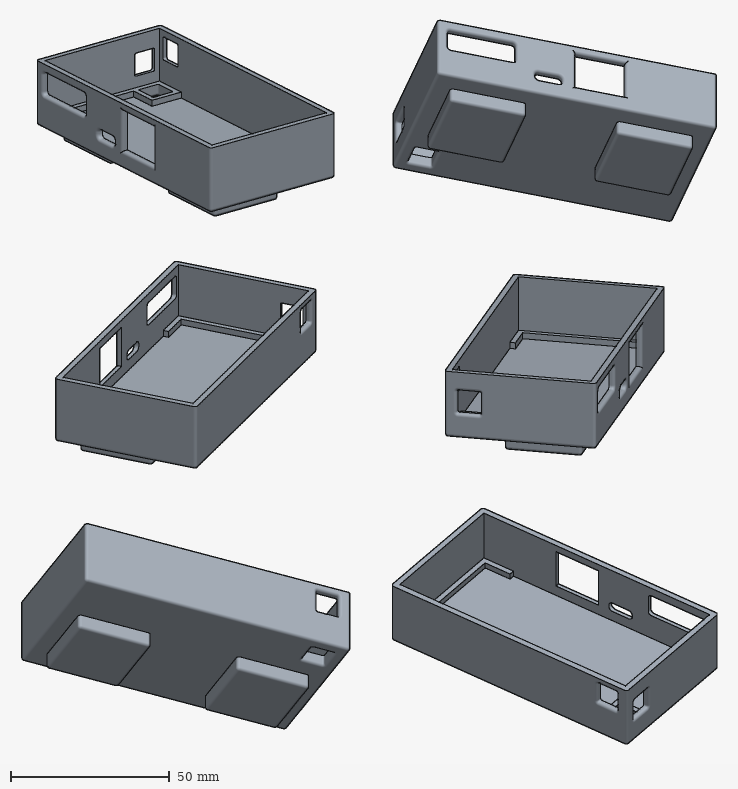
import cadquery as cq

LENGTH = 92.0
WIDTH = 49.0
BODY_HEIGHT = 22.0
WALL = 2.0
FLOOR = 2.0
EDGE_ROUND = 1.0

LEFT = -LENGTH / 2
FRONT = -WIDTH / 2
BACK = WIDTH / 2

LEDGE_WIDTH = 1.8
LEDGE_HEIGHT = 2.0
LEDGE_REACH = 11.5

PORT_SIZE = 7.8
PORT_ROUND = 0.55
PORT_INSET = 7.8
SIDE_PORT_DROP = 10.1
BACK_PORT_DROP = 6.2

DISPLAY_SIZE = (22.45, 7.9)
DISPLAY_CENTRE = (14.6, 7.0)
DISPLAY_ROUND = 1.1
CONNECTOR_SIZE = (9.0, 3.3)
CONNECTOR_CENTRE = (36.7, 14.6)
CONNECTOR_ROUND = 1.4
SOCKET_SIZE = (16.5, 13.7)
SOCKET_CENTRE = (53.6, 9.4)

FOOT_SIZE = 25.0
FOOT_HEIGHT = 5.0
FOOT_INSET = 6.0


def shell():
    outer = cq.Workplane("XY").box(LENGTH, WIDTH, BODY_HEIGHT, centered=(True, True, False))
    outer = outer.edges("|Z or <Z").fillet(EDGE_ROUND)
    cavity = (
        cq.Workplane("XY", origin=(0, 0, FLOOR))
        .rect(LENGTH - 2 * WALL, WIDTH - 2 * WALL)
        .extrude(BODY_HEIGHT)
    )
    return outer.cut(cavity)


def ledges():
    inner_length = LENGTH - 2 * WALL
    inner_width = WIDTH - 2 * WALL
    plane = cq.Workplane("XY", origin=(0, 0, FLOOR))
    frame = (
        plane.rect(inner_length, inner_width)
        .rect(inner_length - 2 * LEDGE_WIDTH, inner_width - 2 * LEDGE_WIDTH)
        .extrude(LEDGE_HEIGHT)
    )
    middle_gap = plane.rect(inner_length - 2 * LEDGE_REACH, WIDTH).extrude(LEDGE_HEIGHT)
    corner_pad = (
        plane.center(LEFT + WALL + LEDGE_REACH / 2, BACK - WALL - LEDGE_REACH / 2)
        .rect(LEDGE_REACH, LEDGE_REACH)
        .extrude(LEDGE_HEIGHT)
    )
    return frame.cut(middle_gap).union(corner_pad)


def opening(plane, centre, size, reach, corner_round=0):
    """Rectangular cutter that runs from centre by reach along the normal of the plane."""
    cutter = cq.Workplane(plane, origin=centre).rect(*size).extrude(reach)
    if corner_round:
        along_cut = {"XY": "|Z", "XZ": "|Y", "YZ": "|X"}[plane]
        cutter = cutter.edges(along_cut).fillet(corner_round)
    return cutter


def front_opening(centre, size, corner_round=0):
    from_left, drop = centre
    point = (LEFT + from_left, FRONT, BODY_HEIGHT - drop)
    return opening("XZ", point, size, -WALL, corner_round)


def corner_ports():
    port = (PORT_SIZE, PORT_SIZE)
    port_x = LEFT + PORT_INSET
    port_y = BACK - PORT_INSET
    floor_port = opening("XY", (port_x, port_y, 0), port, FLOOR + LEDGE_HEIGHT, PORT_ROUND)
    side_port = opening("YZ", (LEFT, port_y, BODY_HEIGHT - SIDE_PORT_DROP), port, WALL, PORT_ROUND)
    back_port = opening("XZ", (port_x, BACK, BODY_HEIGHT - BACK_PORT_DROP), port, WALL, PORT_ROUND)
    return floor_port.union(side_port).union(back_port)


def round_opening_rims(body, face_selector):
    """Round the outer rim of every opening in one outer face."""
    rims = body.faces(face_selector).val().innerWires()
    edges = [edge for rim in rims for edge in rim.Edges()]
    return body.newObject(edges).fillet(EDGE_ROUND)


def foot(x_centre):
    y_centre = FRONT + FOOT_INSET + FOOT_SIZE / 2
    block = (
        cq.Workplane("XY", origin=(x_centre, y_centre, -FOOT_HEIGHT))
        .rect(FOOT_SIZE, FOOT_SIZE)
        .extrude(FOOT_HEIGHT)
    )
    return block.edges("|Z or <Z").fillet(EDGE_ROUND)


body = shell().union(ledges())
body = body.cut(corner_ports())
body = body.cut(front_opening(DISPLAY_CENTRE, DISPLAY_SIZE, DISPLAY_ROUND))
body = body.cut(front_opening(CONNECTOR_CENTRE, CONNECTOR_SIZE, CONNECTOR_ROUND))
body = body.cut(front_opening(SOCKET_CENTRE, SOCKET_SIZE))
for outer_face in ("<X", "<Y", ">Y", "<Z"):
    body = round_opening_rims(body, outer_face)

foot_offset = LENGTH / 2 - FOOT_INSET - FOOT_SIZE / 2
for foot_x in (-foot_offset, foot_offset):
    body = body.union(foot(foot_x))

result = body